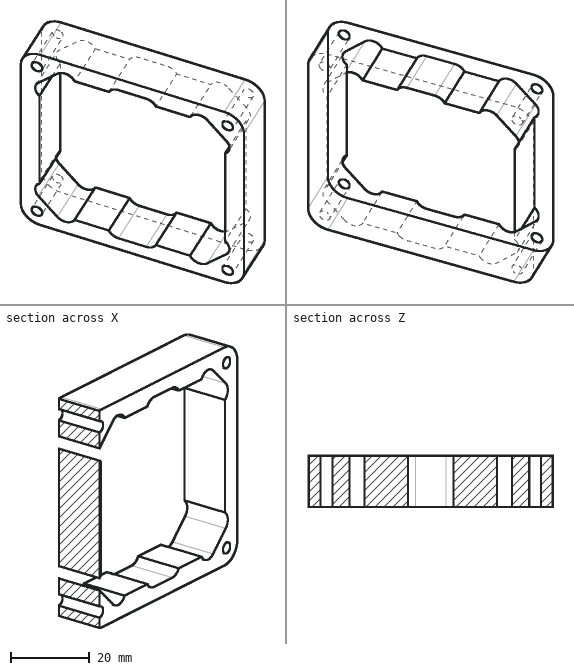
import cadquery as cq
import math

WIDTH = 62.0
HEIGHT = 60.0
THICKNESS = 13.0
CORNER_RADIUS = 5.45

HOLE_DIAMETER = 3.0
HOLE_X = 26.5
HOLE_Z = 25.5

OPENING_HALF_WIDTH = 25.8
OPENING_HALF_HEIGHT = 24.4

RELIEF_RADIUS = 3.0
RELIEF_TOP = 26.1
RELIEF_SIDE = 27.0
END_RELIEF_X = 18.7
RECESS_RELIEF_X = 3.85

end_relief_z = RELIEF_TOP - RELIEF_RADIUS
side_relief_x = RELIEF_SIDE - RELIEF_RADIUS
side_relief_z = end_relief_z - (side_relief_x - END_RELIEF_X)
tangent_offset = RELIEF_RADIUS * math.sqrt(0.5)


def profile():
    return cq.Workplane("XZ")


def prism(sketch):
    """Extrude a profile through the thickness, centred on Y = 0."""
    return sketch.extrude(THICKNESS / 2, both=True)


def block(half_width, half_height):
    return prism(profile().rect(2 * half_width, 2 * half_height))


def mirrored(x, z):
    """The point repeated in all four quadrants."""
    return [(sx * x, sz * z) for sx in (-1, 1) for sz in (-1, 1)]


def cylinders(x, z, radius):
    return prism(profile().pushPoints(mirrored(x, z)).circle(radius))


def corner_wedge(sx, sz):
    """Space reaching from the relief centres out to the tangent corner wall."""
    outline = [
        (0, 0),
        (END_RELIEF_X, end_relief_z),
        (END_RELIEF_X + tangent_offset, end_relief_z + tangent_offset),
        (side_relief_x + tangent_offset, side_relief_z + tangent_offset),
        (side_relief_x, side_relief_z),
    ]
    return prism(profile().polyline([(sx * x, sz * z) for x, z in outline]).close())


def opening():
    space = block(END_RELIEF_X, OPENING_HALF_HEIGHT)
    space = space.union(block(OPENING_HALF_WIDTH, side_relief_z))
    for sx, sz in mirrored(1, 1):
        space = space.union(corner_wedge(sx, sz))
    space = space.union(block(RECESS_RELIEF_X, RELIEF_TOP))
    relief_centres = [
        (RECESS_RELIEF_X, end_relief_z),
        (END_RELIEF_X, end_relief_z),
        (side_relief_x, side_relief_z),
    ]
    for x, z in relief_centres:
        space = space.union(cylinders(x, z, RELIEF_RADIUS))
    return space


frame = block(WIDTH / 2, HEIGHT / 2).edges("|Y").fillet(CORNER_RADIUS)
screw_holes = cylinders(HOLE_X, HOLE_Z, HOLE_DIAMETER / 2)
result = frame.cut(opening()).cut(screw_holes)